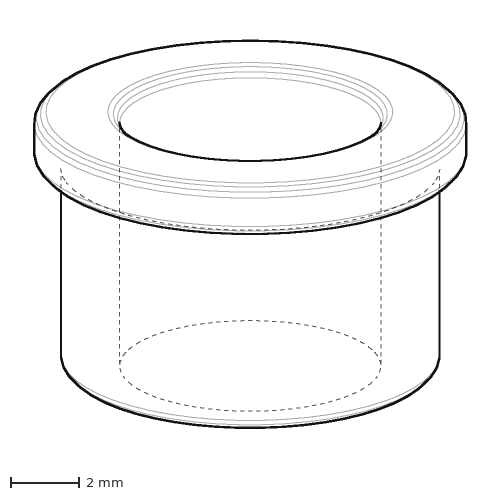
import cadquery as cq

flange_diameter = 12.69
body_diameter = 11.12
bore_diameter = 7.66
total_height = 7.95
flange_thickness = 1.59
edge_chamfer = 0.25
corner_radius = 0.23
neck_radius = 0.19

flange_radius = flange_diameter / 2
body_radius = body_diameter / 2
bore_radius = bore_diameter / 2
flange_bottom = total_height - flange_thickness


def round_corner(profile, corner, radius):
    """Round the profile vertex at the given (radius, height) point."""
    nearest = cq.selectors.NearestToPointSelector((*corner, 0))
    return profile.reset().vertices(nearest).fillet(radius)


body_edge = [
    (body_radius - edge_chamfer, 0),
    (body_radius, edge_chamfer),
]
rim_lower_edge = [
    (flange_radius - edge_chamfer, flange_bottom),
    (flange_radius, flange_bottom + edge_chamfer),
]
rim_upper_edge = [
    (flange_radius, total_height - edge_chamfer),
    (flange_radius - edge_chamfer, total_height),
]
bore_mouth = [
    (bore_radius + edge_chamfer, total_height),
    (bore_radius, total_height - edge_chamfer),
]
neck = (body_radius, flange_bottom)
bore_foot = (bore_radius, 0)

outline = [bore_foot, *body_edge, neck, *rim_lower_edge, *rim_upper_edge, *bore_mouth, bore_foot]
section = cq.Sketch().polygon(outline)

for corner in body_edge + rim_lower_edge + rim_upper_edge + bore_mouth:
    section = round_corner(section, corner, corner_radius)
section = round_corner(section, neck, neck_radius)

result = cq.Workplane("XZ").placeSketch(section.reset()).revolve(360, (0, 0, 0), (0, 1, 0))